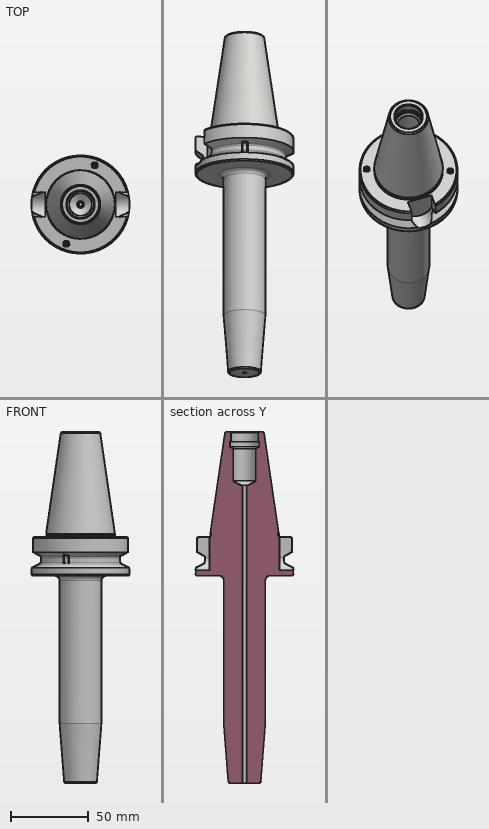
import cadquery as cq
import math

total_height = 225.5

gauge_height = 160.0
taper_ratio = 7 / 24
taper_top_radius = 12.6
gauge_radius = taper_top_radius + (total_height - gauge_height) * taper_ratio / 2
taper_top_chamfer = 1.0

undercut_radius = 21.6
undercut_height = 1.1

flange_radius = 31.5
flange_top = 158.0
flange_bottom = 133.0
flange_chamfer = 1.0
groove_radius = 26.5
groove_fillet = 1.1
groove_top = 145.4
groove_bottom = 141.0
groove_flank_slope = math.tan(math.radians(30))
groove_flank_height = (flange_radius - groove_radius) * groove_flank_slope

shank_radius = 13.5
shank_fillet = 3.0
nose_length = 38.5
nose_end_radius = 10.5
nose_chamfer = 1.0

slot_width = 16.0
slot_floor_distance = 22.5
slot_bottom = 136.8

screw_hole_radius = 2.0
screw_radius = 1.4
screw_recess = 1.0
socket_radius = 0.7
socket_depth = 1.4
screw_circle_radius = 26.8
screw_angles = (70, 250)

counterbore_radius = 8.5
counterbore_depth = 6.3
lip_chamfer = 0.7
relief_radius = 9.2
relief_height = 3.4
thread_radius = 7.2
thread_depth = 31.5
cone_end_radius = 2.3
cone_height = 2.7
coolant_radius = 1.1


def make_body():
    """Revolve the outer half profile of the holder about Z."""
    chamfer_base_radius = taper_top_radius + taper_top_chamfer * taper_ratio / 2
    fillet_mid = shank_fillet * (1 - math.sqrt(0.5))
    outline = (
        cq.Workplane("XZ")
        .moveTo(0, 0)
        .lineTo(nose_end_radius - nose_chamfer, 0)
        .lineTo(nose_end_radius, nose_chamfer)
        .lineTo(shank_radius, nose_length)
        .lineTo(shank_radius, flange_bottom - shank_fillet)
        .threePointArc(
            (shank_radius + fillet_mid, flange_bottom - fillet_mid),
            (shank_radius + shank_fillet, flange_bottom),
        )
        .lineTo(flange_radius - flange_chamfer, flange_bottom)
        .lineTo(flange_radius, flange_bottom + flange_chamfer)
        .lineTo(flange_radius, groove_bottom - groove_flank_height)
        .lineTo(groove_radius, groove_bottom)
        .lineTo(groove_radius, groove_top)
        .lineTo(flange_radius, groove_top + groove_flank_height)
        .lineTo(flange_radius, flange_top - flange_chamfer)
        .lineTo(flange_radius - flange_chamfer, flange_top)
        .lineTo(gauge_radius, flange_top)
        .lineTo(gauge_radius, gauge_height - undercut_height)
        .lineTo(undercut_radius, gauge_height - undercut_height)
        .lineTo(undercut_radius, gauge_height)
        .lineTo(gauge_radius, gauge_height)
        .lineTo(chamfer_base_radius, total_height - taper_top_chamfer)
        .lineTo(taper_top_radius - taper_top_chamfer, total_height)
        .lineTo(0, total_height)
        .close()
    )
    body = outline.revolve(360, (0, 0, 0), (0, 1, 0))
    groove_corners = cq.selectors.BoxSelector(
        (-flange_radius, -flange_radius, groove_bottom - groove_fillet),
        (flange_radius, flange_radius, groove_top + groove_fillet),
        boundingbox=True,
    )
    return body.edges("%CIRCLE").edges(groove_corners).fillet(groove_fillet)


def make_bore():
    """Revolve the stepped bore: counterbore, relief groove, thread bore, cone and coolant hole."""
    thread_bottom = total_height - thread_depth
    counterbore_bottom = total_height - counterbore_depth
    relief_bottom = counterbore_bottom - relief_height
    outline = (
        cq.Workplane("XZ")
        .moveTo(0, 0)
        .lineTo(coolant_radius, 0)
        .lineTo(coolant_radius, thread_bottom - cone_height)
        .lineTo(cone_end_radius, thread_bottom - cone_height)
        .lineTo(thread_radius, thread_bottom)
        .lineTo(thread_radius, relief_bottom - (counterbore_radius - thread_radius))
        .lineTo(counterbore_radius, relief_bottom)
        .lineTo(relief_radius, relief_bottom)
        .lineTo(relief_radius, counterbore_bottom)
        .lineTo(counterbore_radius, counterbore_bottom)
        .lineTo(counterbore_radius, total_height - lip_chamfer)
        .lineTo(counterbore_radius + lip_chamfer, total_height)
        .lineTo(0, total_height)
        .close()
    )
    return outline.revolve(360, (0, 0, 0), (0, 1, 0))


def make_drive_slot(side):
    """Round-ended radial slot on one side (side is -1 or +1), open at the flange top."""
    arc_center = slot_bottom + slot_width / 2
    half_width = slot_width / 2
    return (
        cq.Workplane("YZ", origin=(side * slot_floor_distance, 0, 0))
        .moveTo(-half_width, flange_top)
        .lineTo(-half_width, arc_center)
        .threePointArc((0, slot_bottom), (half_width, arc_center))
        .lineTo(half_width, flange_top)
        .close()
        .extrude(side * flange_radius)
    )


def make_screw_hole(angle):
    """Ring-shaped clearance around a recessed socket set screw, at the given angle from +X."""
    x = screw_circle_radius * math.cos(math.radians(angle))
    y = screw_circle_radius * math.sin(math.radians(angle))
    screw_top = flange_top - screw_recess
    hole = (
        cq.Workplane("XY", origin=(x, y, groove_bottom))
        .circle(screw_hole_radius)
        .extrude(flange_top - groove_bottom)
    )
    screw = (
        cq.Workplane("XY", origin=(x, y, groove_bottom))
        .circle(screw_radius)
        .extrude(screw_top - groove_bottom)
    )
    socket = (
        cq.Workplane("XY", origin=(x, y, screw_top - socket_depth))
        .circle(socket_radius)
        .extrude(socket_depth)
    )
    return hole.cut(screw.cut(socket))


result = make_body().cut(make_bore())
for side in (-1, 1):
    result = result.cut(make_drive_slot(side))
for angle in screw_angles:
    result = result.cut(make_screw_hole(angle))